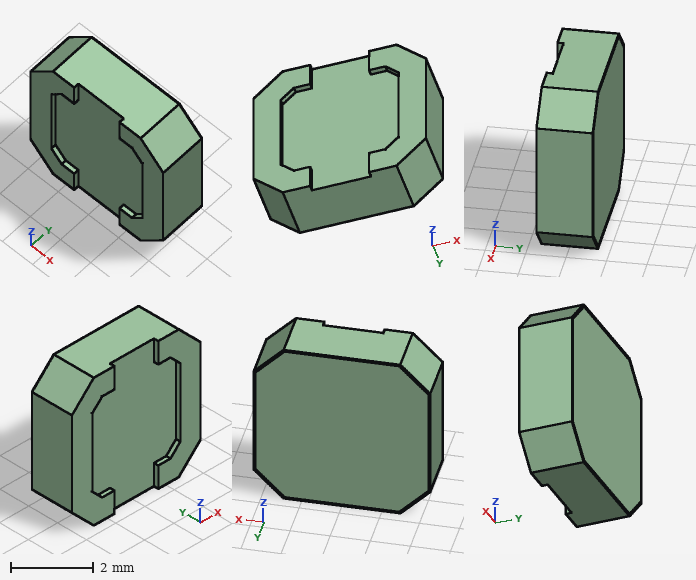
import cadquery as cq

side = 4.4
thickness = 1.4
corner_cut = 0.75

recess_side = 3.01
recess_corner_cut = 0.34
recess_depth = 0.15
channel_width = 1.5

pad_height = 0.01
pad_side = 4.31
pad_corner_cut = 0.72

body_depth = thickness - pad_height
front_y = -thickness / 2


def cut_corner_block(width, corner, depth, start_y):
    """Square block with cut corners, reaching from start_y towards +Y."""
    return (
        cq.Workplane("XY")
        .box(width, depth, width)
        .edges("|Y")
        .chamfer(corner)
        .translate((0, start_y + depth / 2, 0))
    )


body = cut_corner_block(side, corner_cut, body_depth, front_y)
pad = cut_corner_block(pad_side, pad_corner_cut, pad_height, front_y + body_depth)
recess = cut_corner_block(recess_side, recess_corner_cut, recess_depth, front_y)
channel = (
    cq.Workplane("XY")
    .box(channel_width, recess_depth, side)
    .translate((0, front_y + recess_depth / 2, 0))
)

result = body.union(pad).cut(recess).cut(channel)